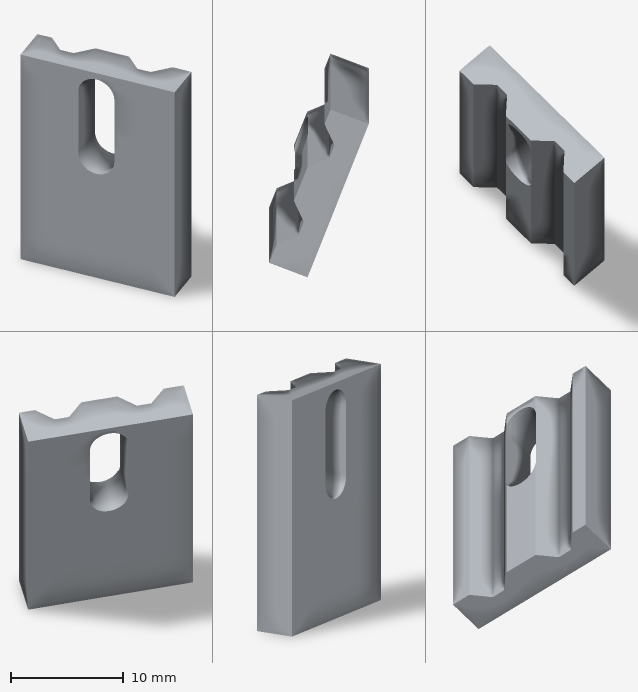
import cadquery as cq

plate_width = 15.0
plate_thickness = 3.65
plate_height = 21.67

groove_depth = 1.5
groove_floor_width = 1.3
groove_mouth_width = 4.22
groove_spacing = 7.5
first_groove_x = 3.55

slot_width = 3.5
slot_length = 10.0
slot_center_x = 7.38
slot_center_z = 16.0


def make_plate():
    return cq.Workplane("XY").box(plate_width, plate_thickness, plate_height, centered=False)


def make_groove(center_x):
    floor_y = plate_thickness - groove_depth
    half_floor = groove_floor_width / 2
    half_mouth = groove_mouth_width / 2
    profile = [
        (center_x - half_mouth, plate_thickness),
        (center_x - half_floor, floor_y),
        (center_x + half_floor, floor_y),
        (center_x + half_mouth, plate_thickness),
    ]
    return cq.Workplane("XY").polyline(profile).close().extrude(plate_height)


def make_slot():
    return (
        cq.Workplane("XZ")
        .center(slot_center_x, slot_center_z)
        .slot2D(slot_length, slot_width, angle=90)
        .extrude(-plate_thickness)
    )


result = make_plate()
for groove_x in (first_groove_x, first_groove_x + groove_spacing):
    result = result.cut(make_groove(groove_x))
result = result.cut(make_slot())